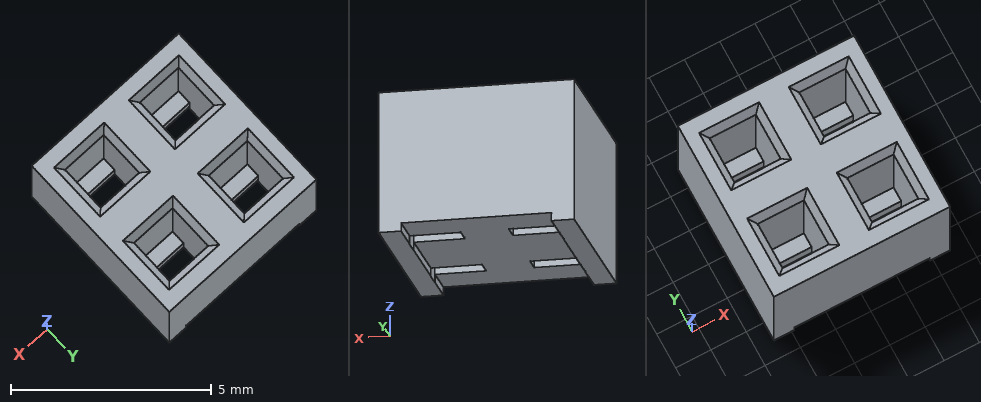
import cadquery as cq

length_x = 5.0
length_y = 5.08
height = 3.7

foot_width = 0.58
foot_height = 0.215

pitch = 2.54
mouth_size = 1.7
cavity_size = 1.31
lead_in_depth = (mouth_size - cavity_size) / 2

tail_slot_width = 0.5
floor_thickness = 0.5


def make_body():
    """Block standing on Z = 0 with a shallow channel between its feet."""
    block = cq.Workplane("XY").box(length_x, length_y, height, centered=(True, True, False))
    channel = cq.Workplane("XY").box(
        length_x - 2 * foot_width, length_y, foot_height, centered=(True, True, False)
    )
    return block.cut(channel)


def make_cavity():
    """Flared mouth, square cavity and tail slot, centred on the Z axis."""
    mouth = (
        cq.Workplane("XY", origin=(0, 0, height - lead_in_depth))
        .rect(cavity_size, cavity_size)
        .workplane(offset=lead_in_depth)
        .rect(mouth_size, mouth_size)
        .loft(ruled=True)
    )
    cavity_floor = foot_height + floor_thickness
    cavity = (
        cq.Workplane("XY", origin=(0, 0, cavity_floor))
        .rect(cavity_size, cavity_size)
        .extrude(height - lead_in_depth - cavity_floor)
    )
    tail_slot = cq.Workplane("XY").rect(cavity_size, tail_slot_width).extrude(cavity_floor)
    return cavity.union(mouth).union(tail_slot)


result = make_body()
for x in (-pitch / 2, pitch / 2):
    for y in (-pitch / 2, pitch / 2):
        result = result.cut(make_cavity().translate((x, y, 0)))